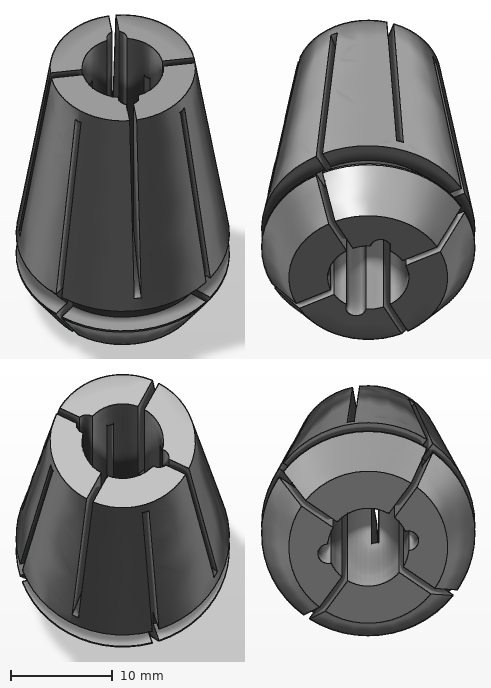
import cadquery as cq
import math

height = 31.5
max_radius = 10.5
bore_radius = 4.0
taper_angle = 8.0
nose_angle = 30.0
nose_height = 4.65
rim_height = 0.2
groove_radius = 8.65
groove_height = 2.8

groove_bottom = nose_height + rim_height
groove_top = groove_bottom + groove_height

slot_count = 4
slot_width = 0.7
saw_radius = 20.0
lower_slot_outer_end = 30.1
lower_slot_inner_end = 26.7
upper_slot_outer_end = 9.2
upper_slot_inner_end = 14.6
overshoot = 1.0

relief_radius = 1.0
relief_angles = (135, 315)


def taper_radius(z):
    """Radius of the clamping cone at height z."""
    return max_radius - (z - groove_top) * math.tan(math.radians(taper_angle))


def make_body():
    nose_radius = max_radius - nose_height * math.tan(math.radians(nose_angle))
    profile = [
        (bore_radius, 0),
        (nose_radius, 0),
        (max_radius, nose_height),
        (max_radius, groove_bottom),
        (groove_radius, groove_bottom),
        (groove_radius, groove_top),
        (max_radius, groove_top),
        (taper_radius(height), height),
        (bore_radius, height),
    ]
    return cq.Workplane("XZ").polyline(profile).close().revolve(360, (0, 0), (0, 1))


def saw_arc_midpoint(start, end, open_side):
    """Middle of the saw cut; open_side is +1 for slots open at the top, -1 at the bottom."""
    dr = end[0] - start[0]
    dz = end[1] - start[1]
    chord = math.hypot(dr, dz)
    sagitta = saw_radius - math.sqrt(saw_radius**2 - (chord / 2) ** 2)
    middle_r = (start[0] + end[0]) / 2 - abs(dz) / chord * sagitta
    middle_z = (start[1] + end[1]) / 2 - open_side * abs(dr) / chord * sagitta
    return (middle_r, middle_z)


def make_slot(outer_end, inner_end, open_side, angle):
    """Radial saw slot from the axis outward, ending in an arc of the saw radius."""
    outer_point = (taper_radius(outer_end), outer_end)
    inner_point = (bore_radius, inner_end)
    open_z = height + overshoot if open_side > 0 else -overshoot
    outside = max_radius + overshoot
    return (
        cq.Workplane("XZ")
        .moveTo(0, open_z)
        .lineTo(outside, open_z)
        .lineTo(outside, outer_end)
        .lineTo(*outer_point)
        .threePointArc(saw_arc_midpoint(outer_point, inner_point, open_side), inner_point)
        .lineTo(0, inner_end)
        .close()
        .extrude(slot_width / 2, both=True)
        .rotate((0, 0, 0), (0, 0, 1), angle)
    )


def cut_slots(body):
    """Four slots from below on the X and Y axes and four from above on the diagonals."""
    slot_pitch = 360 / slot_count
    for index in range(slot_count):
        axis_angle = slot_pitch * index
        lower_slot = make_slot(lower_slot_outer_end, lower_slot_inner_end, -1, axis_angle)
        upper_slot = make_slot(upper_slot_outer_end, upper_slot_inner_end, 1, axis_angle + slot_pitch / 2)
        body = body.cut(lower_slot).cut(upper_slot)
    return body


def cut_relief_holes(body):
    """Two opposite through holes centred on the bore wall, on one diagonal."""
    for angle in relief_angles:
        center_x = bore_radius * math.cos(math.radians(angle))
        center_y = bore_radius * math.sin(math.radians(angle))
        hole = cq.Workplane("XY").center(center_x, center_y).circle(relief_radius).extrude(height)
        body = body.cut(hole)
    return body


result = cut_relief_holes(cut_slots(make_body()))